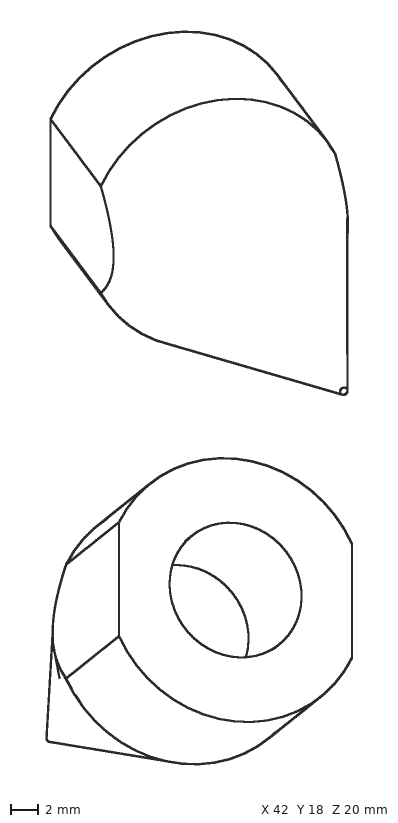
import cadquery as cq
import math

length = 42.0
body_diameter = 20.0
width_across_flats = 18.0
body_length = 12.0
tip_diameter = 0.6

hole_diameter = 10.2
hole_depth = 12.0
drill_point_angle = 118.0

body_radius = body_diameter / 2
tip_radius = tip_diameter / 2
hole_radius = hole_diameter / 2
drill_point_depth = hole_radius / math.tan(math.radians(drill_point_angle / 2))


def revolve_about_x(profile):
    return profile.close().revolve(360, (0, 0, 0), (1, 0, 0))


pointed_body = revolve_about_x(
    cq.Workplane("XZ")
    .lineTo(0, body_radius)
    .lineTo(body_length, body_radius)
    .lineTo(length, tip_radius)
    .lineTo(length, 0)
)

flats_envelope = cq.Workplane("XY").box(
    length, width_across_flats, body_diameter, centered=(False, True, True)
)

hole = revolve_about_x(
    cq.Workplane("XZ")
    .lineTo(0, hole_radius)
    .lineTo(hole_depth, hole_radius)
    .lineTo(hole_depth + drill_point_depth, 0)
)

result = pointed_body.intersect(flats_envelope).cut(hole)